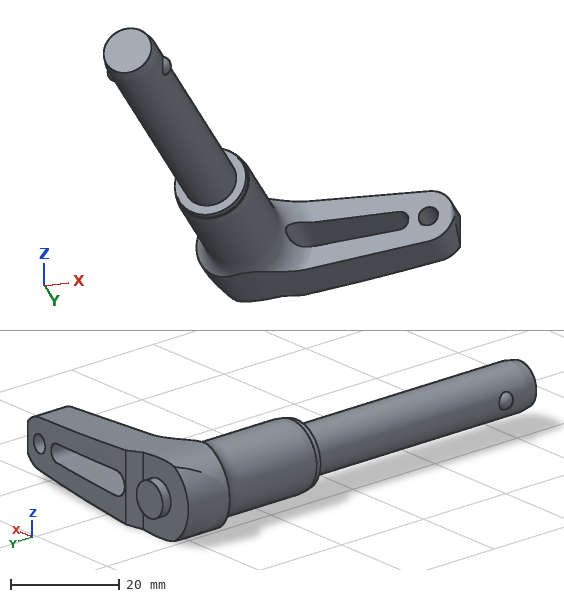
import cadquery as cq
import math

TOTAL_LENGTH = 90.4

PIN_DIAMETER = 10.0
PIN_RADIUS = PIN_DIAMETER / 2
TIP_RADIUS = 4.6
TIP_LENGTH = 2.35
BALL_RADIUS = 1.8
BALL_REACH = 6.1
BALL_Y = 7.8

COLLAR_BOTTOM = 54.6
RIM_TOP = 55.8
CHAMFER_TOP = 57.3
COLLAR_TOP = 74.5
COLLAR_RADIUS = 7.3
CHAMFER_RADIUS = 7.1
RIM_RADIUS = 6.9
FLARE_RADIUS = 5.9
BUTTON_RADIUS = 3.7

HEAD_WIDTH = 15.8
HEAD_HALF_WIDTH = HEAD_WIDTH / 2
HEAD_END_X = -9.9
HEAD_BLEND_RADIUS = 16.3
HEAD_BLEND_X = -1.0
TAPER_START_X = 0.7
ARM_END_X = 39.8
ARM_END_RADIUS = 5.2
ARM_END_CENTER_X = ARM_END_X - ARM_END_RADIUS

HEAD_TOP = 88.4
UNDERSIDE_SLOPE_X = 10.85
UNDERSIDE = COLLAR_TOP + FLARE_RADIUS
HUMP_START_X = 4.1
HUMP_X = 7.6
HUMP_TOP = 89.7
ARM_MIDDLE = (26.7, 88.3)
ARM_TIP_TOP = (38.8, 86.9)
ARM_TIP_BOTTOM = (39.9, 79.1)
ARM_TIP_FILLET = 0.7

CONE_AXIS_X = 0.2
CONE_TOP_RADIUS = 8.9
CONE_BASE_RADIUS = CONE_AXIS_X - HEAD_END_X
CONE_BASE_Y = 79.5

SLOT_START_X = 10.5
SLOT_START_RADIUS = 2.5
SLOT_STRAIGHT = 0.9
SLOT_END_X = 29.0
SLOT_END_RADIUS = 1.9
HOLE_X = 34.8
HOLE_RADIUS = 1.9


def cylinder(radius, bottom, top, x=0.0):
    """Solid cylinder parallel to Y between two heights."""
    direction = cq.Vector(0, 1, 0)
    return cq.Workplane(cq.Solid.makeCylinder(radius, top - bottom, cq.Vector(x, bottom, 0), direction))


def space_beyond(start_x):
    """Block enclosing everything on the arm side of a given X."""
    return (
        cq.Workplane("XY")
        .box(2 * ARM_END_X, TOTAL_LENGTH, HEAD_WIDTH, centered=(False, False, True))
        .translate((start_x, 0, 0))
    )


def tapered_plan(start_x, start_radius, end_x, end_radius, flat_end_x):
    """Round-ended tapered plan, straight from start_x to flat_end_x, swept over the full height."""
    lean = math.atan2(start_radius - end_radius, end_x - flat_end_x)
    touch_x = end_x + end_radius * math.sin(lean)
    touch_z = end_radius * math.cos(lean)
    return (
        cq.Workplane("XZ", origin=(0, TOTAL_LENGTH, 0))
        .moveTo(start_x, start_radius)
        .lineTo(flat_end_x, start_radius)
        .lineTo(touch_x, touch_z)
        .threePointArc((end_x + end_radius, 0), (touch_x, -touch_z))
        .lineTo(flat_end_x, -start_radius)
        .lineTo(start_x, -start_radius)
        .threePointArc((start_x - start_radius, 0), (start_x, start_radius))
        .close()
        .extrude(TOTAL_LENGTH)
    )


def head_round():
    """Head plan: a rounded back joined to the straight sides by tangent arcs of larger radius."""
    reach = HEAD_BLEND_X - HEAD_END_X
    blend_offset = HEAD_BLEND_RADIUS - HEAD_HALF_WIDTH
    end_radius = (HEAD_BLEND_RADIUS**2 - reach**2 - blend_offset**2) / (2 * (HEAD_BLEND_RADIUS - reach))
    sweep = math.asin((reach - end_radius) / (HEAD_BLEND_RADIUS - end_radius))

    def blend_point(angle):
        x = HEAD_BLEND_X - HEAD_BLEND_RADIUS * math.sin(angle)
        return x, HEAD_BLEND_RADIUS * math.cos(angle) - blend_offset

    join_x, join_z = blend_point(sweep)
    middle_x, middle_z = blend_point(sweep / 2)
    return (
        cq.Workplane("XZ", origin=(0, TOTAL_LENGTH, 0))
        .moveTo(TAPER_START_X, HEAD_HALF_WIDTH)
        .lineTo(HEAD_BLEND_X, HEAD_HALF_WIDTH)
        .threePointArc((middle_x, middle_z), (join_x, join_z))
        .threePointArc((HEAD_END_X, 0), (join_x, -join_z))
        .threePointArc((middle_x, -middle_z), (HEAD_BLEND_X, -HEAD_HALF_WIDTH))
        .lineTo(TAPER_START_X, -HEAD_HALF_WIDTH)
        .close()
        .extrude(TOTAL_LENGTH)
    )


def arm_plan():
    """Tapered arm plan with the head round in place of its wide end."""
    tapered = tapered_plan(
        HEAD_BLEND_X, HEAD_HALF_WIDTH, ARM_END_CENTER_X, ARM_END_RADIUS, TAPER_START_X
    )
    arm_side = space_beyond(TAPER_START_X)
    return tapered.intersect(arm_side).union(head_round())


def make_arm():
    """Side profile of the handle, extruded across its width."""
    return (
        cq.Workplane("XY")
        .moveTo(HEAD_END_X, UNDERSIDE)
        .lineTo(HEAD_END_X, HEAD_TOP)
        .lineTo(HUMP_START_X, HEAD_TOP)
        .lineTo(HUMP_X, HUMP_TOP)
        .threePointArc(ARM_MIDDLE, ARM_TIP_TOP)
        .lineTo(*ARM_TIP_BOTTOM)
        .lineTo(UNDERSIDE_SLOPE_X, UNDERSIDE)
        .close()
        .extrude(HEAD_HALF_WIDTH, both=True)
        .edges(cq.selectors.NearestToPointSelector((*ARM_TIP_BOTTOM, 0)))
        .fillet(ARM_TIP_FILLET)
    )


def make_flare():
    """Concave round leading from the collar out to the handle underside."""
    outer = COLLAR_RADIUS + FLARE_RADIUS
    diagonal = FLARE_RADIUS * math.sqrt(0.5)
    return (
        cq.Workplane("XY")
        .moveTo(0, COLLAR_TOP)
        .lineTo(COLLAR_RADIUS, COLLAR_TOP)
        .threePointArc((outer - diagonal, COLLAR_TOP + diagonal), (outer, UNDERSIDE))
        .lineTo(0, UNDERSIDE)
        .close()
        .revolve(360, (0, 0, 0), (0, 1, 0))
    )


def make_head_cone():
    """Limits the back of the head: a cone above a straight base, open toward the arm."""
    slope = (CONE_BASE_RADIUS - CONE_TOP_RADIUS) / (HEAD_TOP - CONE_BASE_Y)
    top_radius = CONE_BASE_RADIUS - slope * (TOTAL_LENGTH - CONE_BASE_Y)
    cone = cq.Workplane(
        cq.Solid.makeCone(
            CONE_BASE_RADIUS,
            top_radius,
            TOTAL_LENGTH - CONE_BASE_Y,
            cq.Vector(CONE_AXIS_X, CONE_BASE_Y, 0),
            cq.Vector(0, 1, 0),
        )
    )
    base = cylinder(CONE_BASE_RADIUS, COLLAR_TOP, CONE_BASE_Y, CONE_AXIS_X)
    arm_side = space_beyond(CONE_AXIS_X)
    return cone.union(base).union(arm_side)


def make_handle():
    """Handle with its flare, trimmed to plan and pierced by the slot and hole."""
    slot_taper_x = SLOT_START_X + SLOT_STRAIGHT
    slot = tapered_plan(SLOT_START_X, SLOT_START_RADIUS, SLOT_END_X, SLOT_END_RADIUS, slot_taper_x)
    hole = cylinder(HOLE_RADIUS, 0, TOTAL_LENGTH, HOLE_X)
    body = make_arm().union(make_flare())
    return body.intersect(arm_plan()).intersect(make_head_cone()).cut(slot).cut(hole)


def make_pin_and_collar():
    """Turned pin and collar as one revolved profile."""
    outline = [
        (0, 0),
        (TIP_RADIUS, 0),
        (PIN_RADIUS, TIP_LENGTH),
        (PIN_RADIUS, COLLAR_BOTTOM),
        (RIM_RADIUS, COLLAR_BOTTOM),
        (RIM_RADIUS, RIM_TOP),
        (CHAMFER_RADIUS, RIM_TOP),
        (COLLAR_RADIUS, CHAMFER_TOP),
        (COLLAR_RADIUS, COLLAR_TOP),
        (0, COLLAR_TOP),
    ]
    return cq.Workplane("XY").polyline(outline).close().revolve(360, (0, 0, 0), (0, 1, 0))


result = make_pin_and_collar().union(make_handle())
result = result.union(cylinder(BUTTON_RADIUS, UNDERSIDE, TOTAL_LENGTH))
for side in (-1, 1):
    ball = cq.Workplane("XY").sphere(BALL_RADIUS)
    result = result.union(ball.translate((side * (BALL_REACH - BALL_RADIUS), BALL_Y, 0)))